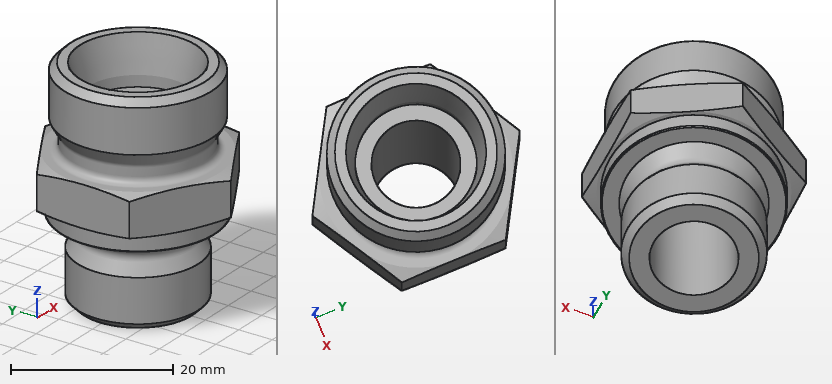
import cadquery as cq
import math

total_height = 32.5
hex_top = 20.5
hex_bottom = 14.5
collar_bottom = 12.0

upper_radius = 22.0 / 2
upper_groove_radius = 19.7 / 2
upper_thread_bottom = 25.05
root_radius = 1.0

lower_radius = 18.0 / 2
lower_groove_radius = 15.73 / 2
lower_thread_top = 7.35
undercut_radius = 1.15
undercut_cone_angle = math.radians(34)
end_chamfer = 1.0

across_flats = 24.02
collar_radius = 23.0 / 2
collar_chamfer = 0.15
rim_clearance = 0.32
hex_chamfer_angle = math.radians(15)

bore_radius = 11.0 / 2
tube_socket_radius = 15.0 / 2
cone_mouth_radius = 17.3 / 2
cone_half_angle = math.radians(12)
socket_depth = 7.0

thread_runout_angle = math.radians(30)


def make_body():
    """Revolved outside of both threaded ends, their grooves and the collar."""
    upper_runout_height = (upper_radius - upper_groove_radius) / math.tan(thread_runout_angle)
    root_corner = upper_thread_bottom - upper_runout_height
    tangent_length = root_radius * math.tan(thread_runout_angle / 2)
    half_angle = thread_runout_angle / 2
    root_mid = (
        upper_groove_radius + root_radius * (1 - math.cos(half_angle)),
        root_corner - tangent_length + root_radius * math.sin(half_angle),
    )
    root_end = (
        upper_groove_radius + tangent_length * math.sin(thread_runout_angle),
        root_corner + tangent_length * math.cos(thread_runout_angle),
    )
    undercut_start_radius = lower_groove_radius + undercut_radius * (1 - math.cos(thread_runout_angle))
    undercut_start_level = lower_thread_top + (
        (lower_radius - undercut_start_radius) / math.tan(thread_runout_angle)
    )
    undercut_mid_level = undercut_start_level + undercut_radius * math.sin(thread_runout_angle)
    undercut_end_radius = lower_groove_radius + undercut_radius * (1 - math.cos(undercut_cone_angle))
    undercut_end_level = undercut_mid_level + undercut_radius * math.sin(undercut_cone_angle)
    undercut_top_radius = undercut_end_radius + (
        (collar_bottom - undercut_end_level) * math.tan(undercut_cone_angle)
    )
    fillet_mid = root_radius * (1 - math.sqrt(0.5))
    profile = (
        cq.Workplane("XZ")
        .moveTo(0, 0)
        .lineTo(lower_radius - end_chamfer, 0)
        .lineTo(lower_radius, end_chamfer)
        .lineTo(lower_radius, lower_thread_top)
        .lineTo(undercut_start_radius, undercut_start_level)
        .threePointArc(
            (lower_groove_radius, undercut_mid_level),
            (undercut_end_radius, undercut_end_level),
        )
        .lineTo(undercut_top_radius, collar_bottom)
        .lineTo(collar_radius - collar_chamfer, collar_bottom)
        .lineTo(collar_radius, collar_bottom + collar_chamfer)
        .lineTo(collar_radius, hex_top)
        .lineTo(upper_groove_radius + root_radius, hex_top)
        .threePointArc(
            (upper_groove_radius + fillet_mid, hex_top + fillet_mid),
            (upper_groove_radius, hex_top + root_radius),
        )
        .lineTo(upper_groove_radius, root_corner - tangent_length)
        .threePointArc(root_mid, root_end)
        .lineTo(upper_radius, upper_thread_bottom)
        .lineTo(upper_radius, total_height - end_chamfer)
        .lineTo(upper_radius - end_chamfer, total_height)
        .lineTo(0, total_height)
        .close()
    )
    return profile.revolve(360, (0, 0, 0), (0, 1, 0))


def make_hexagon():
    """Hexagon with corners on the Y axis, its corners chamfered by cones at both faces."""
    corner_radius = across_flats / 2 / math.cos(math.pi / 6)
    hexagon = (
        cq.Workplane("XY", origin=(0, 0, hex_bottom))
        .polygon(6, 2 * corner_radius)
        .extrude(hex_top - hex_bottom)
        .rotate((0, 0, 0), (0, 0, 1), 30)
    )
    face_radius = across_flats / 2
    rim_radius = corner_radius + rim_clearance
    drop = (rim_radius - face_radius) * math.tan(hex_chamfer_angle)
    envelope = (
        cq.Workplane("XZ")
        .moveTo(0, hex_bottom)
        .lineTo(face_radius, hex_bottom)
        .lineTo(rim_radius, hex_bottom + drop)
        .lineTo(rim_radius, hex_top - drop)
        .lineTo(face_radius, hex_top)
        .lineTo(0, hex_top)
        .close()
        .revolve(360, (0, 0, 0), (0, 1, 0))
    )
    return hexagon.intersect(envelope)


def make_bore():
    """Through bore with a stepped tube socket and a conical mouth at the top."""
    cone_depth = (cone_mouth_radius - tube_socket_radius) / math.tan(cone_half_angle)
    return (
        cq.Workplane("XZ")
        .lineTo(bore_radius, 0)
        .lineTo(bore_radius, total_height - socket_depth)
        .lineTo(tube_socket_radius, total_height - socket_depth)
        .lineTo(tube_socket_radius, total_height - cone_depth)
        .lineTo(cone_mouth_radius, total_height)
        .lineTo(0, total_height)
        .close()
        .revolve(360, (0, 0, 0), (0, 1, 0))
    )


result = make_body().union(make_hexagon()).cut(make_bore())